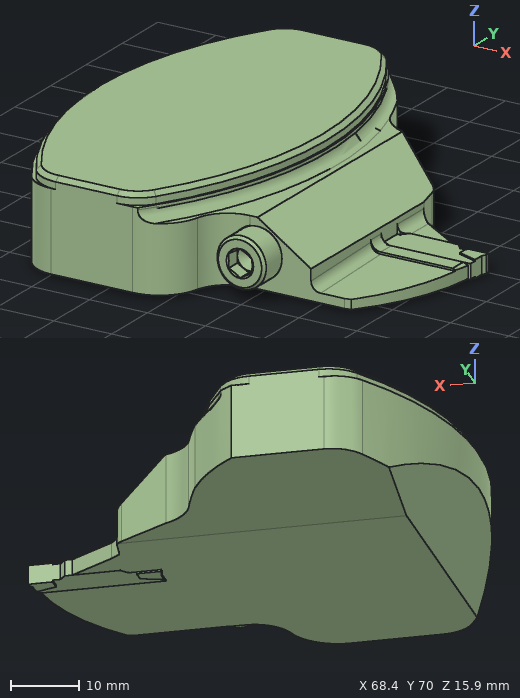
import cadquery as cq
import math

PLATE_WIDTH = 40.7
PLATE_LENGTH = 70.0
PLATE_HEIGHT = 15.55
MID_X = PLATE_WIDTH / 2
END_Y = PLATE_LENGTH / 2
SIDE_RADIUS = 60.0
CORNER_RADIUS = 6.0
RIM_INSET = 0.5
RIM_SHIFT = 0.2
RIM_Z = 13.6
RIM_CHAMFER = 0.8
SIDE_CUT_LEG = 8.0
END_TAPER_Y = 11.7
END_TAPER_RISE = 2.1

HEAD_Z = 11.35
HEAD_FRONT_Y = -24.1
HEAD_END_X = 52.65
HEAD_END_Z = 5.1
HEAD_SLOPE_X = 43.4
FLANGE_OFFSET = 1.6
NECK_TOP_Z = 13.3
FLANGE_BACK_Y = 26.6
FLANGE_BACK_MID = (31.9, 32.1)
FLANGE_CORNER_X = 28.5
FLANGE_CORNER_RADIUS = 7.7
FRONT_FILLET_END_X = 42.1
BACK_EDGE_START_Y = 20.45
BACK_EDGE_MID = (40.3, 18.35)
BACK_EDGE_END = (43.25, 16.5)
HEAD_TIP_BACK = (51.1, 12.2)
HEAD_TIP_MID = (51.9, 11.5)
HEAD_TIP_FRONT = (52.15, 10.5)

BLADE_Z = 2.5
BLADE_FRONT_X = 58.4
BLADE_CORNER = (59.5, -23.9)
BLADE_ARC_MID = (65.2, -14.55)
BLADE_TIP_X = 67.6
JAW_ROOT_Y = 7.4
JAW_BEND_Y = 6.1
JAW_TIP_X = 61.4
BLADE_FILLET = 1.6
LOWER_STEP_Y = -7.35
LOWER_STEP_Z = 2.2
LOWER_FRONT_Z = 1.6
STRIP_BEVEL_LENGTH = 0.85
STRIP_BEVEL_DROP = 0.35

INSERT_END_X = 68.4
INSERT_MID_X = 58.3
INSERT_TOP_Y = 1.25
RAKE_Y = 0.1
INSERT_BOTTOM_Y = -4.4
SHOULDER_TOP_X = 62.5
SHOULDER_FOOT_X = 63.5
TIP_START_X = 64.7
TIP_RELIEF = 0.35
TIP_EDGE_DEPTH = 0.7
TIP_INNER_Y = -1.95
TIP_OUTER_Y = -3.15
TIP_OVERHANG_BELOW = 0.3
TIP_OVERHANG_ABOVE = 0.2

SCREW_X = HEAD_SLOPE_X
SCREW_Z = 5.7
SCREW_DIAMETER = 8.5
SCREW_END_Y = -29.0
SCREW_CHAMFER = 0.5
SOCKET_FLATS = 4.0
SOCKET_CORNERS = SOCKET_FLATS / math.cos(math.pi / 6)
SOCKET_DEPTH = 2.5
SOCKET_CONE_DEPTH = 1.1
SOCKET_LEAD_IN = 0.1
SPOTFACE_DIAMETER = 8.6


def lens(inset, height):
    """Flat-ended lens, its two sides moved inwards by inset, standing on Z = 0."""
    radius = SIDE_RADIUS - inset
    half_width = MID_X - inset
    end_half = half_width - radius + math.sqrt(radius**2 - END_Y**2)
    return (
        cq.Workplane("XY")
        .moveTo(MID_X - end_half, -END_Y)
        .lineTo(MID_X + end_half, -END_Y)
        .threePointArc((MID_X + half_width, 0), (MID_X + end_half, END_Y))
        .lineTo(MID_X - end_half, END_Y)
        .threePointArc((MID_X - half_width, 0), (MID_X - end_half, -END_Y))
        .close()
        .extrude(height)
        .edges("|Z")
        .fillet(CORNER_RADIUS)
    )


def make_plate():
    rim = lens(RIM_INSET, PLATE_HEIGHT).faces(">Z").chamfer(RIM_CHAMFER).translate((RIM_SHIFT, 0, 0))
    return lens(0, RIM_Z).union(rim)


def head_outline(height):
    """Head and flange footprint, reaching back to the middle of the plate."""
    r1 = FLANGE_CORNER_RADIUS
    corner_x, corner_y = FLANGE_CORNER_X, -END_Y + r1
    dx = FRONT_FILLET_END_X - corner_x
    dy = HEAD_FRONT_Y - corner_y
    r2 = (dx**2 + dy**2 - r1**2) / (2 * (r1 + dy))
    hollow_y = HEAD_FRONT_Y - r2
    join = math.atan2(hollow_y - corner_y, dx)
    corner_mid = (join - math.pi / 2) / 2
    hollow_mid = (join + math.pi + math.pi / 2) / 2

    flange_radius = SIDE_RADIUS + FLANGE_OFFSET
    arc_center_x = PLATE_WIDTH - SIDE_RADIUS

    def flange_point(y):
        return (arc_center_x + math.sqrt(flange_radius**2 - y**2), y)

    start = flange_point(BACK_EDGE_START_Y)
    corner_end = flange_point(FLANGE_BACK_Y)
    flange_mid = flange_point((start[1] + corner_end[1]) / 2)
    return (
        cq.Workplane("XY")
        .moveTo(MID_X, -END_Y)
        .lineTo(corner_x, -END_Y)
        .threePointArc(
            (corner_x + r1 * math.cos(corner_mid), corner_y + r1 * math.sin(corner_mid)),
            (corner_x + r1 * math.cos(join), corner_y + r1 * math.sin(join)),
        )
        .threePointArc(
            (FRONT_FILLET_END_X + r2 * math.cos(hollow_mid), hollow_y + r2 * math.sin(hollow_mid)),
            (FRONT_FILLET_END_X, HEAD_FRONT_Y),
        )
        .lineTo(HEAD_END_X, HEAD_FRONT_Y)
        .lineTo(HEAD_END_X, JAW_ROOT_Y)
        .lineTo(*HEAD_TIP_FRONT)
        .threePointArc(HEAD_TIP_MID, HEAD_TIP_BACK)
        .lineTo(*BACK_EDGE_END)
        .threePointArc(BACK_EDGE_MID, start)
        .threePointArc(flange_mid, corner_end)
        .threePointArc(FLANGE_BACK_MID, (corner_x, END_Y))
        .lineTo(MID_X, END_Y)
        .close()
        .extrude(height)
    )


def make_head():
    slope = (
        cq.Workplane("XZ")
        .moveTo(HEAD_SLOPE_X, HEAD_Z)
        .lineTo(HEAD_END_X, HEAD_END_Z)
        .lineTo(HEAD_END_X, HEAD_Z)
        .close()
        .extrude(END_Y, both=True)
    )
    return head_outline(HEAD_Z).cut(slope)


def make_neck():
    """Hollow fillet between the plate wall and the flange, turned about the wall's centre."""
    inner = SIDE_RADIUS - CORNER_RADIUS
    outer = SIDE_RADIUS + FLANGE_OFFSET
    drop = NECK_TOP_Z - HEAD_Z
    sag = 1 - math.sqrt(0.5)
    ring = (
        cq.Workplane("XZ")
        .moveTo(inner, 0)
        .lineTo(outer, 0)
        .lineTo(outer, HEAD_Z)
        .threePointArc(
            (SIDE_RADIUS + sag * FLANGE_OFFSET, HEAD_Z + sag * drop),
            (SIDE_RADIUS, NECK_TOP_Z),
        )
        .lineTo(SIDE_RADIUS, RIM_Z)
        .lineTo(inner, RIM_Z)
        .close()
        .revolve(360, (0, 0, 0), (0, 1, 0))
        .translate((PLATE_WIDTH - SIDE_RADIUS, 0, 0))
    )
    return head_outline(RIM_Z).intersect(ring)


def blade_outline(height):
    return (
        cq.Workplane("XY")
        .moveTo(HEAD_END_X, HEAD_FRONT_Y)
        .lineTo(BLADE_FRONT_X, HEAD_FRONT_Y)
        .lineTo(*BLADE_CORNER)
        .threePointArc(BLADE_ARC_MID, (BLADE_TIP_X, INSERT_BOTTOM_Y))
        .lineTo(BLADE_TIP_X, RAKE_Y)
        .lineTo(SHOULDER_FOOT_X, RAKE_Y)
        .lineTo(JAW_TIP_X, INSERT_TOP_Y)
        .lineTo(HEAD_END_X + BLADE_FILLET, JAW_BEND_Y)
        .lineTo(HEAD_END_X, JAW_ROOT_Y)
        .close()
        .extrude(height)
    )


def space_above(z):
    """Space over a blade top at height z, rounded where it meets the end of the head."""
    root_x = HEAD_END_X + BLADE_FILLET
    top = z + BLADE_FILLET
    sag = BLADE_FILLET * (1 - math.sqrt(0.5))
    return (
        cq.Workplane("XZ")
        .moveTo(HEAD_END_X, top)
        .threePointArc((HEAD_END_X + sag, z + sag), (root_x, z))
        .lineTo(INSERT_END_X, z)
        .lineTo(INSERT_END_X, HEAD_Z)
        .lineTo(HEAD_END_X, HEAD_Z)
        .close()
        .extrude(END_Y, both=True)
    )


def make_blade():
    blade = blade_outline(BLADE_Z + BLADE_FILLET).cut(space_above(BLADE_Z))
    front_length = LOWER_STEP_Y - HEAD_FRONT_Y
    slope = math.degrees(math.atan2(LOWER_STEP_Z - LOWER_FRONT_Z, front_length))
    tilt_axis = ((HEAD_END_X, HEAD_FRONT_Y, LOWER_FRONT_Z), (INSERT_END_X, HEAD_FRONT_Y, LOWER_FRONT_Z))
    front_part = cq.Workplane("XY", origin=(HEAD_END_X, HEAD_FRONT_Y, 0)).box(
        INSERT_END_X - HEAD_END_X, front_length, HEAD_Z, centered=False
    )
    lowered = space_above(LOWER_FRONT_Z).rotate(*tilt_axis, slope).intersect(front_part)
    bevel = (
        cq.Workplane("XZ", origin=(0, INSERT_BOTTOM_Y, 0))
        .moveTo(BLADE_TIP_X - STRIP_BEVEL_LENGTH, BLADE_Z)
        .lineTo(BLADE_TIP_X, BLADE_Z)
        .lineTo(BLADE_TIP_X, BLADE_Z - STRIP_BEVEL_DROP)
        .close()
        .extrude(INSERT_BOTTOM_Y - LOWER_STEP_Y)
    )
    return blade.cut(lowered).cut(bevel)


def insert_half(bottom_z, top_z):
    """Outer half of the insert body, from its middle to the cutting end."""
    relieved_x = INSERT_END_X - TIP_RELIEF
    return (
        cq.Workplane("XY", origin=(0, 0, bottom_z))
        .moveTo(INSERT_MID_X, INSERT_BOTTOM_Y)
        .lineTo(relieved_x, INSERT_BOTTOM_Y)
        .lineTo(relieved_x, RAKE_Y)
        .lineTo(SHOULDER_FOOT_X, RAKE_Y)
        .lineTo(SHOULDER_TOP_X, INSERT_TOP_Y)
        .lineTo(INSERT_MID_X, INSERT_TOP_Y)
        .close()
        .extrude(top_z - bottom_z)
    )


def insert_tip():
    """Cutting tip, a little wider along Z than the insert body."""
    relieved_x = INSERT_END_X - TIP_RELIEF
    return (
        cq.Workplane("XY", origin=(0, 0, -TIP_OVERHANG_BELOW))
        .moveTo(TIP_START_X, RAKE_Y)
        .lineTo(INSERT_END_X, RAKE_Y)
        .lineTo(INSERT_END_X, RAKE_Y - TIP_EDGE_DEPTH)
        .lineTo(relieved_x, RAKE_Y - 2 * TIP_EDGE_DEPTH)
        .lineTo(relieved_x, TIP_OUTER_Y)
        .lineTo(TIP_START_X, TIP_INNER_Y)
        .close()
        .extrude(BLADE_Z + TIP_OVERHANG_BELOW + TIP_OVERHANG_ABOVE)
    )


def both_ends(half):
    """Join a half insert with its copy mirrored about the insert's middle."""
    return half.union(half.mirror("YZ", (INSERT_MID_X, 0, 0)))


def make_insert():
    return both_ends(insert_half(0, BLADE_Z).union(insert_tip()))


def along_screw(diameter, start_y, length):
    """Cylinder on the screw axis running from start_y towards -Y."""
    return (
        cq.Workplane("XZ", origin=(SCREW_X, start_y, SCREW_Z))
        .circle(diameter / 2)
        .extrude(length)
    )


def socket_cone(diameter, start_depth):
    """Cone on the screw axis, narrowing from diameter to a point further into the head."""
    return (
        cq.Workplane("XY")
        .lineTo(diameter / 2, 0)
        .lineTo(0, SOCKET_CONE_DEPTH)
        .close()
        .revolve(360, (0, 0, 0), (0, 1, 0))
        .translate((SCREW_X, SCREW_END_Y + start_depth, SCREW_Z))
    )


def make_screw_head():
    """Screw head with a hexagon socket that has a lead-in cone and a drilled bottom."""
    head = along_screw(SCREW_DIAMETER, HEAD_FRONT_Y, HEAD_FRONT_Y - SCREW_END_Y)
    head = head.faces("<Y").chamfer(SCREW_CHAMFER)
    hexagon = (
        cq.Workplane("XZ", origin=(SCREW_X, SCREW_END_Y, SCREW_Z))
        .transformed(rotate=(0, 0, 90))
        .polygon(6, SOCKET_CORNERS)
        .extrude(-SOCKET_DEPTH)
    )
    lead_in = socket_cone(SOCKET_CORNERS + SOCKET_LEAD_IN, 0)
    bottom = socket_cone(SOCKET_FLATS, SOCKET_DEPTH)
    return head.cut(hexagon).cut(lead_in).cut(bottom)


def underside_cuts():
    """45 degree cut along the -X side and the shallow taper towards the +Y end."""
    side = (
        cq.Workplane("XZ")
        .lineTo(SIDE_CUT_LEG, 0)
        .lineTo(0, SIDE_CUT_LEG)
        .close()
        .extrude(END_Y, both=True)
    )
    end = (
        cq.Workplane("YZ")
        .moveTo(END_TAPER_Y, 0)
        .lineTo(END_Y, 0)
        .lineTo(END_Y, END_TAPER_RISE)
        .close()
        .extrude(INSERT_END_X)
    )
    return side.union(end)


def make_holder(insert):
    holder = make_plate().union(make_head()).union(make_neck()).union(make_blade())
    holder = holder.cut(underside_cuts())
    holder = holder.cut(along_screw(SPOTFACE_DIAMETER, HEAD_FRONT_Y, CORNER_RADIUS))
    holder = holder.union(make_screw_head())
    over_insert = both_ends(insert_half(BLADE_Z, BLADE_Z + BLADE_FILLET))
    beyond_head = cq.Workplane("XY", origin=(HEAD_END_X, 0, 0)).box(
        INSERT_END_X - HEAD_END_X, PLATE_LENGTH, PLATE_HEIGHT, centered=(False, True, False)
    )
    return holder.cut(over_insert.intersect(beyond_head)).cut(insert)


insert = make_insert()
holder = make_holder(insert)

result = cq.Compound.makeCompound([holder.solids().val(), insert.solids().val()])